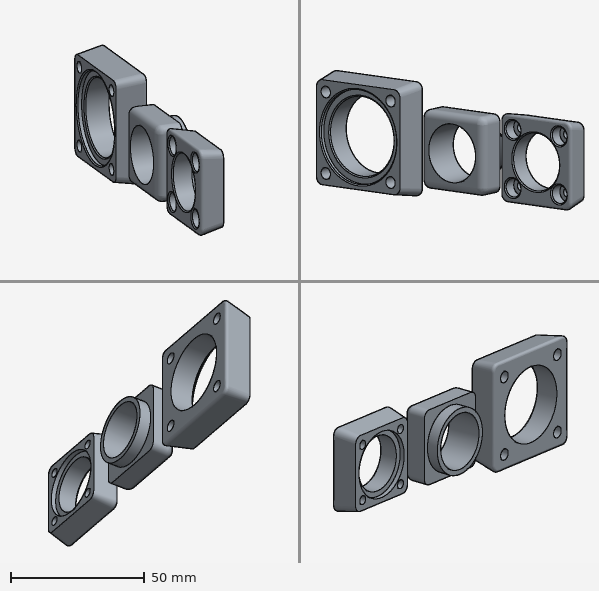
import cadquery as cq

BLOCK_X = 45.0
BLOCK_Z = -1.1
FLANGE_X = 85.0

CORNER_RADIUS = 3.0
RIM_RADIUS = 1.0
EDGE_BREAK = 0.5

FRAME_FRONT = 40.0
FRAME_BACK = 43.8
FRAME_DEPTH = 12.0
FRAME_BORE = 30.4
FRAME_RECESS = 36.0
FRAME_RECESS_DEPTH = 2.0
FRAME_HOLE = 4.5
FRAME_HOLE_PITCH = 31.0

BLOCK_SIDE = 30.0
BLOCK_DEPTH = 10.0
BLOCK_BORE = 22.3
SPIGOT_DIAMETER = 26.4
SPIGOT_LENGTH = 4.8

FLANGE_FRONT = 34.0
FLANGE_BACK = 30.4
FLANGE_DEPTH = BLOCK_DEPTH
FLANGE_BORE = 22.0
FLANGE_HOLE = 3.5
FLANGE_COUNTERBORE = 7.0
FLANGE_COUNTERBORE_DEPTH = 5.1
FLANGE_HOLE_PITCH = 22.1
FLANGE_SOCKET = SPIGOT_DIAMETER
FLANGE_SOCKET_DEPTH = 2.0


def tapered_square(front_side, back_side, depth):
    """Square plate from Y = 0 to Y = depth, its four corner edges rounded."""
    plate = (
        cq.Workplane("XZ")
        .rect(front_side, front_side)
        .workplane(offset=-depth)
        .rect(back_side, back_side)
        .loft(combine=True)
    )
    return plate.edges("not(#Y)").fillet(CORNER_RADIUS)


def round_cutter(diameter, depth):
    """Cylinder along Y that starts at the front plane."""
    return cq.Workplane("XZ").circle(diameter / 2).extrude(-depth)


def edge_break_cutter(diameter, start):
    """Cone that chamfers the front mouth of a round hole at Y = start."""
    cone = cq.Solid.makeCone(
        diameter / 2 + EDGE_BREAK,
        diameter / 2,
        EDGE_BREAK,
        pnt=cq.Vector(0, start, 0),
        dir=cq.Vector(0, 1, 0),
    )
    return cq.Workplane(obj=cone)


def hole_centres(pitch):
    """Centres of four holes on a square, as (x, z) pairs."""
    return [(x, z) for x in (-pitch / 2, pitch / 2) for z in (-pitch / 2, pitch / 2)]


def make_frame():
    """Wide plate with a recessed bore and four through holes."""
    frame = tapered_square(FRAME_FRONT, FRAME_BACK, FRAME_DEPTH)
    frame = frame.faces(">Y").edges().fillet(RIM_RADIUS)

    frame = frame.cut(round_cutter(FRAME_BORE, FRAME_DEPTH))
    frame = frame.cut(round_cutter(FRAME_RECESS, FRAME_RECESS_DEPTH))
    frame = frame.cut(edge_break_cutter(FRAME_BORE, FRAME_RECESS_DEPTH))
    frame = frame.cut(edge_break_cutter(FRAME_RECESS, 0))

    for x, z in hole_centres(FRAME_HOLE_PITCH):
        frame = frame.cut(round_cutter(FRAME_HOLE, FRAME_DEPTH).translate((x, 0, z)))
    return frame


def make_block():
    """Rounded block with a round spigot, bored through."""
    block = tapered_square(BLOCK_SIDE, BLOCK_SIDE, BLOCK_DEPTH)
    block = block.faces("<Y").edges().fillet(CORNER_RADIUS)

    total_depth = BLOCK_DEPTH + SPIGOT_LENGTH
    spigot = round_cutter(SPIGOT_DIAMETER, SPIGOT_LENGTH).translate((0, BLOCK_DEPTH, 0))
    block = block.union(spigot).cut(round_cutter(BLOCK_BORE, total_depth))
    return block.translate((BLOCK_X, 0, BLOCK_Z))


def make_flange():
    """Plate with a bore, a back socket and four counterbored holes."""
    flange = tapered_square(FLANGE_FRONT, FLANGE_BACK, FLANGE_DEPTH)
    flange = flange.faces("<Y").edges().fillet(RIM_RADIUS)

    flange = flange.cut(round_cutter(FLANGE_BORE, FLANGE_DEPTH))
    flange = flange.cut(edge_break_cutter(FLANGE_BORE, 0))

    socket = round_cutter(FLANGE_SOCKET, FLANGE_SOCKET_DEPTH)
    flange = flange.cut(socket.translate((0, FLANGE_DEPTH - FLANGE_SOCKET_DEPTH, 0)))

    screw_hole = (
        round_cutter(FLANGE_HOLE, FLANGE_DEPTH)
        .union(round_cutter(FLANGE_COUNTERBORE, FLANGE_COUNTERBORE_DEPTH))
        .union(edge_break_cutter(FLANGE_COUNTERBORE, 0))
    )
    for x, z in hole_centres(FLANGE_HOLE_PITCH):
        flange = flange.cut(screw_hole.translate((x, 0, z)))
    return flange.translate((FLANGE_X, 0, 0))


frame = make_frame()
block = make_block()
flange = make_flange()

result = cq.Compound.makeCompound(
    [
        *frame.vals(),
        *block.vals(),
        *flange.vals(),
    ]
)